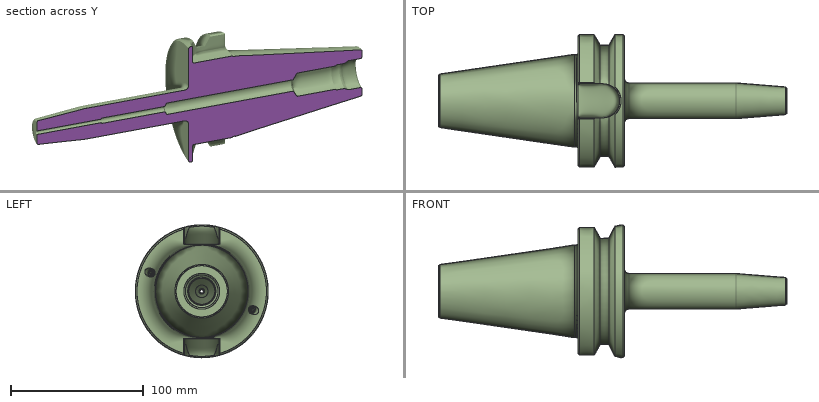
import cadquery as cq
import math

OVERALL_LENGTH = 261.8

TAPER_LENGTH = 102.0
TAPER_RATE = 7 / 24
TAPER_LARGE_DIAMETER = 70.0
TAPER_SMALL_RADIUS = (TAPER_LARGE_DIAMETER - TAPER_LENGTH * TAPER_RATE) / 2
TAPER_CHAMFER = 0.8
NECK_DIAMETER = 69.5
NECK_FILLET = 1.0

FLANGE_START = 104.7
FLANGE_END = 139.8
FLANGE_RADIUS = 100.0 / 2
FLANGE_CHAMFER = 1.3
GROOVE_ROOT_START = 121.5
GROOVE_ROOT_WIDTH = 6.5
GROOVE_ROOT_RADIUS = 42.0
GROOVE_FLANK_ANGLE = 30
GROOVE_FLANK_WIDTH = (FLANGE_RADIUS - GROOVE_ROOT_RADIUS) * math.tan(math.radians(GROOVE_FLANK_ANGLE))

NOSE_RADIUS = 27.0 / 2
NOSE_FILLET = 3.1
NOSE_TAPER_START = 223.5
NOSE_TIP_RADIUS = 10.5
NOSE_TIP_CHAMFER = 1.0

SLOT_WIDTH = 25.7
SLOT_END = 136.1
SLOT_FLOOR_HEIGHT = 35.3
SLOT_CHAMFER = 1.0
SLOT_FLOOR_FILLET = 0.8

BORE_MOUTH_RADIUS = 27.0 / 2
BORE_RADIUS = 24.5 / 2
BORE_MOUTH_DEPTH = 1.0
BORE_DEPTH = 11.3
RECESS_RADIUS = 21.2 / 2
RECESS_START = 14.1
RECESS_END = 21.0
THREAD_RADIUS = 19.6 / 2
THREAD_END = 52.4
DUCT_RADIUS = 4.7
DRILL_POINT_HALF_ANGLE = 59
DUCT_END = 157.0
FEED_RADIUS = 2.0
FEED_END = 209.5
OUTLET_RADIUS = 1.3

COOLANT_HOLE_DIAMETER = 6.3
COOLANT_MOUTH_RADIUS = 41.5
COOLANT_HOLE_ANGLES = (20, 200)
COOLANT_TILT = 35
SCREW_RECESS = 1.8
SCREW_LENGTH = 6.0
SCREW_CHAMFER = 0.8
SOCKET_WIDTH = 2.5
SOCKET_DEPTH = 3.0


def cone_length(large_radius, small_radius):
    """Axial length of a drill point between two radii."""
    return (large_radius - small_radius) / math.tan(math.radians(DRILL_POINT_HALF_ANGLE))


def revolve_about_x(profile):
    return profile.close().revolve(360, (0, 0, 0), (1, 0, 0))


def outer_form():
    """Taper, flange and nose as one revolved outline."""
    groove_root_end = GROOVE_ROOT_START + GROOVE_ROOT_WIDTH
    neck_radius = NECK_DIAMETER / 2
    profile = (
        cq.Workplane("XY")
        .lineTo(0, TAPER_SMALL_RADIUS - TAPER_CHAMFER)
        .lineTo(TAPER_CHAMFER, TAPER_SMALL_RADIUS + TAPER_CHAMFER * TAPER_RATE / 2)
        .lineTo(TAPER_LENGTH, TAPER_LARGE_DIAMETER / 2)
        .lineTo(TAPER_LENGTH, neck_radius)
        .lineTo(FLANGE_START - NECK_FILLET, neck_radius)
        .radiusArc((FLANGE_START, neck_radius + NECK_FILLET), -NECK_FILLET)
        .lineTo(FLANGE_START, FLANGE_RADIUS - FLANGE_CHAMFER)
        .lineTo(FLANGE_START + FLANGE_CHAMFER, FLANGE_RADIUS)
        .lineTo(GROOVE_ROOT_START - GROOVE_FLANK_WIDTH, FLANGE_RADIUS)
        .lineTo(GROOVE_ROOT_START, GROOVE_ROOT_RADIUS)
        .lineTo(groove_root_end, GROOVE_ROOT_RADIUS)
        .lineTo(groove_root_end + GROOVE_FLANK_WIDTH, FLANGE_RADIUS)
        .lineTo(FLANGE_END - FLANGE_CHAMFER, FLANGE_RADIUS)
        .lineTo(FLANGE_END, FLANGE_RADIUS - FLANGE_CHAMFER)
        .lineTo(FLANGE_END, NOSE_RADIUS + NOSE_FILLET)
        .radiusArc((FLANGE_END + NOSE_FILLET, NOSE_RADIUS), -NOSE_FILLET)
        .lineTo(NOSE_TAPER_START, NOSE_RADIUS)
        .lineTo(OVERALL_LENGTH - NOSE_TIP_CHAMFER, NOSE_TIP_RADIUS)
        .lineTo(OVERALL_LENGTH, NOSE_TIP_RADIUS - NOSE_TIP_CHAMFER)
        .lineTo(OVERALL_LENGTH, 0)
    )
    return revolve_about_x(profile)


def axial_bore():
    """Pull-stud bore that narrows in steps to the coolant outlet."""
    profile = (
        cq.Workplane("XY")
        .lineTo(0, BORE_MOUTH_RADIUS)
        .lineTo(BORE_MOUTH_DEPTH, BORE_RADIUS)
        .lineTo(BORE_DEPTH, BORE_RADIUS)
        .lineTo(RECESS_START, RECESS_RADIUS)
        .lineTo(RECESS_END, RECESS_RADIUS)
        .lineTo(RECESS_END, THREAD_RADIUS)
        .lineTo(THREAD_END, THREAD_RADIUS)
        .lineTo(THREAD_END + cone_length(THREAD_RADIUS, DUCT_RADIUS), DUCT_RADIUS)
        .lineTo(DUCT_END, DUCT_RADIUS)
        .lineTo(DUCT_END + cone_length(DUCT_RADIUS, FEED_RADIUS), FEED_RADIUS)
        .lineTo(FEED_END, FEED_RADIUS)
        .lineTo(FEED_END, OUTLET_RADIUS)
        .lineTo(OVERALL_LENGTH, OUTLET_RADIUS)
        .lineTo(OVERALL_LENGTH, 0)
    )
    return revolve_about_x(profile)


def drive_slot():
    """Upper slot: chamfered where it opens in the flange face, round at its inner end."""
    half_width = SLOT_WIDTH / 2
    mouth_half_width = half_width + SLOT_CHAMFER
    chamfer_end = FLANGE_START + SLOT_CHAMFER
    arc_centre = SLOT_END - half_width
    return (
        cq.Workplane("XY", origin=(0, 0, SLOT_FLOOR_HEIGHT))
        .moveTo(TAPER_LENGTH, -mouth_half_width)
        .lineTo(FLANGE_START, -mouth_half_width)
        .lineTo(chamfer_end, -half_width)
        .lineTo(arc_centre, -half_width)
        .threePointArc((SLOT_END, 0), (arc_centre, half_width))
        .lineTo(chamfer_end, half_width)
        .lineTo(FLANGE_START, mouth_half_width)
        .lineTo(TAPER_LENGTH, mouth_half_width)
        .close()
        .extrude(FLANGE_RADIUS)
        .faces("<Z")
        .edges("not <X")
        .fillet(SLOT_FLOOR_FILLET)
    )


def chamfer_slot_rim(flange):
    """Bevel the edges where the upper slot meets the flange rim."""
    half_width = SLOT_WIDTH / 2
    lowest = math.sqrt(FLANGE_RADIUS**2 - half_width**2) - SLOT_CHAMFER
    rim_edges = cq.selectors.BoxSelector(
        (FLANGE_START + FLANGE_CHAMFER, -SLOT_WIDTH, lowest),
        (SLOT_END, SLOT_WIDTH, FLANGE_RADIUS),
    )
    return flange.edges(rim_edges).chamfer(SLOT_CHAMFER)


def coolant_plane(angle, depth):
    """Plane across an inclined hole, at a depth along its axis from the flange face."""
    tilt = math.radians(COOLANT_TILT)
    turn = math.radians(angle)
    outward = cq.Vector(0, math.cos(turn), math.sin(turn))
    sideways = cq.Vector(0, -math.sin(turn), math.cos(turn))
    inward = cq.Vector(math.cos(tilt), 0, 0) - outward * math.sin(tilt)
    mouth = cq.Vector(FLANGE_START, 0, 0) + outward * COOLANT_MOUTH_RADIUS
    return cq.Plane(mouth + inward * depth, sideways, inward)


def coolant_hole(angle):
    """Inclined blind hole, cut from clear of the flange face down to the end of its screw."""
    clearance = COOLANT_HOLE_DIAMETER
    plane = coolant_plane(angle, -clearance)
    length = clearance + SCREW_RECESS + SCREW_LENGTH
    return cq.Workplane(plane).circle(COOLANT_HOLE_DIAMETER / 2).extrude(length)


def make_holder():
    holder = outer_form()
    for _ in range(2):
        holder = chamfer_slot_rim(holder.cut(drive_slot())).rotate((0, 0, 0), (1, 0, 0), 180)
    holder = holder.cut(axial_bore())
    for angle in COOLANT_HOLE_ANGLES:
        holder = holder.cut(coolant_hole(angle))
    return holder


def make_coolant_screw(angle):
    """Set screw with a blind hexagon socket facing the hole mouth."""
    plane = coolant_plane(angle, SCREW_RECESS)
    corner_diameter = SOCKET_WIDTH / math.cos(math.radians(30))
    body = cq.Workplane(plane).circle(COOLANT_HOLE_DIAMETER / 2).extrude(SCREW_LENGTH)
    body = body.faces("<X").chamfer(SCREW_CHAMFER)
    socket = cq.Workplane(plane).polygon(6, corner_diameter).extrude(SOCKET_DEPTH)
    return body.cut(socket)


holder = make_holder()
coolant_screws = [make_coolant_screw(angle).val() for angle in COOLANT_HOLE_ANGLES]

result = cq.Compound.makeCompound([holder.val(), *coolant_screws])